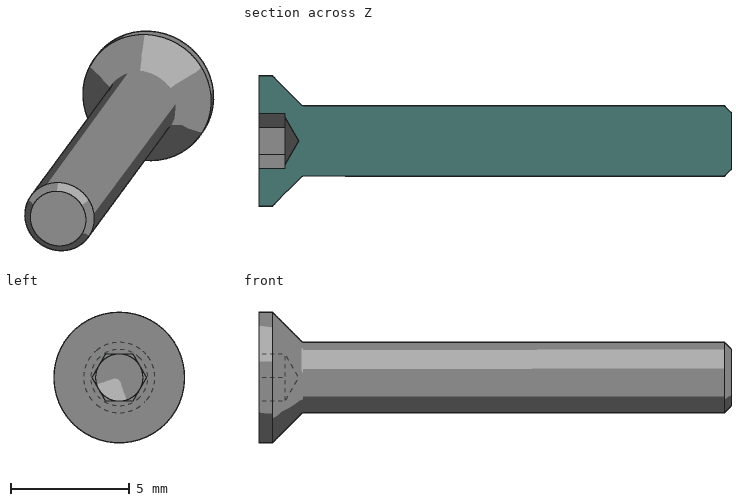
import cadquery as cq
import math

total_length = 20.0
shank_radius = 1.5
head_radius = 2.77
rim_thickness = 0.57
tip_chamfer = 0.3
neck_fillet_radius = 0.1

cone_end = rim_thickness + head_radius - shank_radius

socket_sides = 6
socket_across_flats = 2.0
socket_depth = 1.1
drill_point_half_angle = math.radians(60)
socket_corner_diameter = socket_across_flats / math.cos(math.pi / socket_sides)
drill_radius = socket_across_flats / 2
drill_point_depth = drill_radius / math.tan(drill_point_half_angle)


def screw_body():
    """Head, cone and chamfered shank as one turned profile."""
    profile = [
        (0, 0),
        (0, head_radius),
        (rim_thickness, head_radius),
        (cone_end, shank_radius),
        (total_length - tip_chamfer, shank_radius),
        (total_length, shank_radius - tip_chamfer),
        (total_length, 0),
    ]
    return cq.Workplane("XZ").polyline(profile).close().revolve(360, (0, 0, 0), (1, 0, 0))


def blend_neck(body):
    """Round the inside corner where the cone meets the shank."""
    neck_edge = cq.selectors.BoxSelector(
        (cone_end - neck_fillet_radius, -head_radius, -head_radius),
        (cone_end + neck_fillet_radius, head_radius, head_radius),
    )
    return body.edges("%CIRCLE").edges(neck_edge).fillet(neck_fillet_radius)


def socket_cutter():
    """Hexagonal prism ending in a conical drill point."""
    prism = cq.Workplane("YZ").polygon(socket_sides, socket_corner_diameter).extrude(socket_depth)
    drill_point = cq.Workplane(
        cq.Solid.makeCone(
            drill_radius,
            0,
            drill_point_depth,
            cq.Vector(socket_depth, 0, 0),
            cq.Vector(1, 0, 0),
        )
    )
    return prism.union(drill_point)


result = blend_neck(screw_body()).cut(socket_cutter())